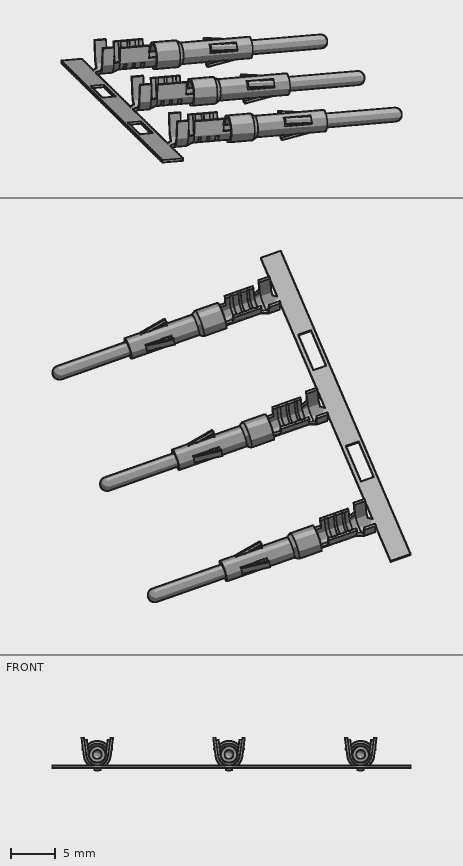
import cadquery as cq
import math


wall = 0.3
pin_radius = 1.6 / 2
barrel_radius = 2.45 / 2
collar_radius = barrel_radius + wall
barrel_bore = barrel_radius - wall
pin_bore = pin_radius - wall

strip_width = 2.4
insulation_start = 2.9
insulation_end = 4.2
conductor_start = 5.0
conductor_end = 8.35
collar_start = 9.25
collar_end = 11.9
barrel_start = 12.4
barrel_end = 20.45
tip_end = 29.45

strip_length = 40.0
strip_bottom = -collar_radius
window_length = 4.7
window_width = 1.5
window_edge = 0.4
contact_pitch = 14.7
contact_shift = -0.3

wall_lean = math.radians(7.5)
insulation_top = 1.9
conductor_top = 1.65
rail_top = 0.15
gap_top = -0.05

serrations = [(5.5, 0.3), (6.5, 0.3), (7.5, 0.4)]
inner_serration_depth = 0.05
outer_serration_depth = 0.02
outer_serration_top = -0.35

neck_half_wide = 0.7
neck_half_narrow = 0.5

barb_angles = (0, 120, 240)
barb_root = 18.65
barb_length = 3.2
barb_width = 0.7
barb_window_width = 1.0
barb_window_length = 3.1
barb_tilt = 10.5
barb_overlap = 0.2


def section_plane(y):
    """Cross-section plane at Y = y; its local axes are X and Z."""
    return cq.Workplane("XZ", origin=(0, y, 0))


def draw_trough(plane, outer, inner, top):
    """U-shaped band whose straight walls are tangent to its round floor."""

    def tangent_point(radius):
        return radius * math.cos(wall_lean), -radius * math.sin(wall_lean)

    def wall_end(radius):
        x, z = tangent_point(radius)
        return x + (top - z) * math.tan(wall_lean), top

    def mirrored(point):
        return -point[0], point[1]

    return (
        plane.moveTo(*mirrored(wall_end(outer)))
        .lineTo(*mirrored(tangent_point(outer)))
        .threePointArc((0, -outer), tangent_point(outer))
        .lineTo(*wall_end(outer))
        .lineTo(*wall_end(inner))
        .lineTo(*tangent_point(inner))
        .threePointArc((0, -inner), mirrored(tangent_point(inner)))
        .lineTo(*mirrored(wall_end(inner)))
        .close()
    )


def trough(start, end, outer, inner, top):
    return draw_trough(section_plane(start), outer, inner, top).extrude(start - end)


def make_tube():
    """Hollow pin, barrel and rear collar as one revolved shell."""
    tip_start = tip_end - pin_radius
    diagonal = math.sqrt(0.5)
    return (
        cq.Workplane("XY")
        .moveTo(collar_radius, collar_start)
        .lineTo(collar_radius, collar_end)
        .lineTo(barrel_radius, barrel_start)
        .lineTo(barrel_radius, barrel_end)
        .lineTo(pin_radius, barrel_end)
        .lineTo(pin_radius, tip_start)
        .threePointArc(
            (pin_radius * diagonal, tip_start + pin_radius * diagonal), (0, tip_end)
        )
        .lineTo(0, tip_end - wall)
        .threePointArc(
            (pin_bore * diagonal, tip_start + pin_bore * diagonal), (pin_bore, tip_start)
        )
        .lineTo(pin_bore, barrel_end - wall)
        .lineTo(barrel_bore, barrel_end - wall)
        .lineTo(barrel_bore, barrel_start)
        .lineTo(barrel_radius, collar_end)
        .lineTo(barrel_radius, collar_start)
        .close()
        .revolve(360, (0, 0, 0), (0, 1, 0))
    )


def make_barb():
    """Curved finger below the axis, bent outward about its root."""
    length = barb_length + barb_overlap
    start = barb_root - barb_length
    blank = section_plane(start).circle(barrel_radius).circle(barrel_bore).extrude(-length)
    lower_strip = cq.Workplane("XY").box(
        barb_width, length, barrel_radius, centered=(True, False, False)
    ).translate((0, start, -barrel_radius))
    root = (0, barb_root, -barrel_radius)
    return blank.intersect(lower_strip).rotate(root, (1, barb_root, -barrel_radius), barb_tilt)


def make_barb_window():
    return cq.Workplane("XY").box(
        barb_window_width, barb_window_length, collar_radius, centered=(True, False, False)
    ).translate((0, barb_root - barb_window_length, -collar_radius))


def make_crimp():
    """Rail, conductor crimp, flared gap and insulation crimp."""
    rail = trough(conductor_end, barrel_start, barrel_radius, barrel_bore, rail_top)
    conductor = trough(conductor_start, conductor_end, barrel_radius, barrel_bore, conductor_top)
    insulation = trough(
        insulation_start, insulation_end, collar_radius, barrel_radius, insulation_top
    )
    wide_end = draw_trough(section_plane(insulation_end), collar_radius, barrel_radius, gap_top)
    next_plane = wide_end.workplane(offset=insulation_end - conductor_start)
    gap = draw_trough(next_plane, barrel_radius, barrel_bore, gap_top).loft(ruled=True)

    for start, width in serrations:
        end = start + width
        inside = trough(start, end, barrel_bore + inner_serration_depth, barrel_bore, conductor_top)
        outside = trough(start, end, barrel_radius, barrel_radius - outer_serration_depth, 0)
        lower_zone = cq.Workplane("XY").box(
            2 * collar_radius, width, collar_radius, centered=(True, False, False)
        ).translate((0, start, outer_serration_top - collar_radius))
        conductor = conductor.cut(inside).cut(outside.intersect(lower_zone))

    return rail.union(conductor).union(gap).union(insulation)


def make_neck():
    """Tapered web from the curved insulation floor down to the flat strip."""

    def floor(radius):
        return -math.sqrt(radius**2 - neck_half_wide**2)

    flat_end = section_plane(strip_width).polyline(
        [
            (-neck_half_narrow, strip_bottom),
            (neck_half_narrow, strip_bottom),
            (neck_half_narrow, strip_bottom + wall),
            (-neck_half_narrow, strip_bottom + wall),
        ]
    ).close()
    return (
        flat_end.workplane(offset=strip_width - insulation_start)
        .moveTo(-neck_half_wide, floor(collar_radius))
        .threePointArc((0, -collar_radius), (neck_half_wide, floor(collar_radius)))
        .lineTo(neck_half_wide, floor(barrel_radius))
        .threePointArc((0, -barrel_radius), (-neck_half_wide, floor(barrel_radius)))
        .close()
        .loft(ruled=True)
    )


def make_contact():
    contact = make_tube()
    for angle in barb_angles:
        contact = contact.cut(make_barb_window().rotate((0, 0, 0), (0, 1, 0), angle))
    for angle in barb_angles:
        contact = contact.union(make_barb().rotate((0, 0, 0), (0, 1, 0), angle))
    return contact.union(make_crimp()).union(make_neck())


def make_strip():
    strip = cq.Workplane("XY").box(
        strip_length, strip_width, wall, centered=(True, False, False)
    )
    windows = (
        cq.Workplane("XY")
        .pushPoints([(side * contact_pitch / 2, window_edge + window_width / 2) for side in (-1, 1)])
        .rect(window_length, window_width)
        .extrude(wall)
    )
    return strip.cut(windows).translate((0, 0, strip_bottom))


result = make_strip()
contact = make_contact()
for place in (-1, 0, 1):
    result = result.union(contact.translate((contact_shift + place * contact_pitch, 0, 0)))